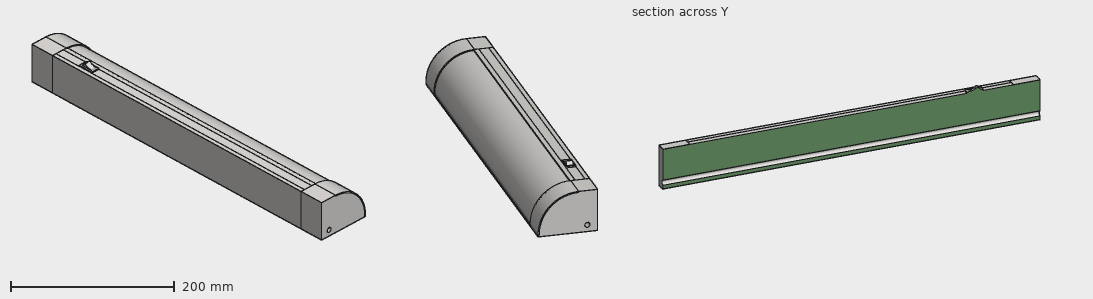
import cadquery as cq
import math

length = 502.0
depth = 76.0
height = 54.5

cap_length = 35.5
arc_radius = 51.5
wall = 0.2
arc_wall = 1.5

front_strip_back = 6.0
rear_strip_front = 18.5
rear_strip_back = 25.0

hole_diameter = 6.5
hole_y = 13.0
hole_z = 9.0

frame_start = 76.0
frame_length = 21.5
frame_height = 1.5
rocker_start = 79.0
rocker_peak_x = 83.0
rocker_end = 94.5
rocker_front = 8.5
rocker_back = 17.0
rocker_top = 60.5
thumb_radius = 13.0
dish_radius = 26.0

cap_start = length - cap_length
arc_axis_y = depth - arc_radius
arc_axis_z = height - arc_radius
core_top = height - wall
frame_top = height + frame_height


def box_between(x0, x1, y0, y1, z0, z1):
    return cq.Workplane("XY").box(x1 - x0, y1 - y0, z1 - z0, centered=False).translate((x0, y0, z0))


def quarter_round_bar(radius, front, bottom):
    """Full-length bar with a flat front, bottom and top, and a round back about the common arc axis."""
    back = arc_axis_y + radius
    top = arc_axis_z + radius
    bend = radius * math.sqrt(0.5)
    return (
        cq.Workplane("YZ")
        .moveTo(front, bottom)
        .lineTo(back, bottom)
        .lineTo(back, arc_axis_z)
        .threePointArc((arc_axis_y + bend, arc_axis_z + bend), (arc_axis_y, top))
        .lineTo(front, top)
        .close()
        .extrude(length)
    )


def make_cable_hole():
    return cq.Workplane("YZ").center(hole_y, hole_z).circle(hole_diameter / 2).extrude(length)


def make_switch():
    """Flat frame filling the slot between the strips, with a rocker: round thumb side, dished far side."""
    frame = box_between(
        frame_start, frame_start + frame_length, front_strip_back, rear_strip_front, core_top, frame_top
    )
    rocker = (
        cq.Workplane("XZ", origin=(0, rocker_back, 0))
        .moveTo(rocker_start, frame_top)
        .radiusArc((rocker_peak_x, rocker_top), thumb_radius)
        .radiusArc((rocker_end, frame_top), -dish_radius)
        .close()
        .extrude(rocker_back - rocker_front)
    )
    return frame.union(rocker)


def make_core():
    """Inner bar through both caps, raised under the flat top, with two top strips and the switch."""
    bar = quarter_round_bar(arc_radius - arc_wall, wall, wall)
    flat_top = box_between(0, length, wall, arc_axis_y, wall, core_top)
    front_strip = box_between(cap_length, cap_start, 0, front_strip_back, core_top, height)
    rear_strip = box_between(
        cap_length, cap_start, rear_strip_front, rear_strip_back, height - arc_wall, height
    )
    core = bar.union(flat_top).union(front_strip).union(rear_strip).union(make_switch())
    return core.cut(make_cable_hole())


def make_shell(core):
    """Skin around the core: two cap sleeves joined by a bottom plate."""
    outer = quarter_round_bar(arc_radius, 0, 0)
    window = box_between(cap_length, cap_start, 0, depth, wall, height)
    return outer.cut(window).cut(make_cable_hole()).cut(core)


core = make_core()
shell = make_shell(core)
result = cq.Compound.makeCompound([*core.solids().vals(), *shell.solids().vals()])